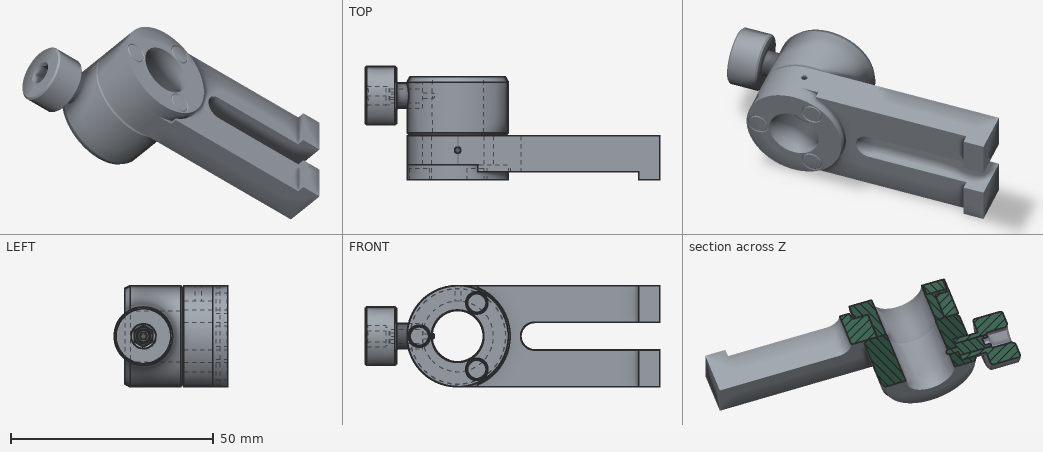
import cadquery as cq
import math


overall_length = 72.9
overall_depth = 28.1
overall_height = 25.0

ring_radius = overall_height / 2
collar_bore_radius = 6.35
flange_bore_radius = 6.5
hub_radius = 8.75

flange_back = 3.7
arm_front = 2.0
arm_back = 10.9
collar_back = 25.5

arm_end = 50.0
arm_step = 5.0
recess_radius = 13.0
foot_length = 5.25
slot_width = 6.8
slot_center = 19.0
index_hole_radius = 0.765
index_hole_center = 7.35

collar_front_land = 0.15
collar_front_chamfer_length = 0.6
collar_front_chamfer_depth = 0.65
collar_back_chamfer_length = 1.4
collar_back_chamfer_depth = 0.7

magnet_radius = 2.515
magnet_depth = 2.9
magnet_chamfer = 0.2
magnet_orbit = 9.5
magnet_angles = [60, 180, 300]

knob_left = arm_end - overall_length
knob_length = 7.8
knob_radius = 7.2
knob_chamfer = 0.45
knob_axis_y = overall_depth - knob_radius
shank_radius = 3.17
shank_fillet = 0.2
shank_end = -8.75
socket_flats = 4.6
socket_depth = 5.1
socket_mouth_radius = 3.05
socket_relief_radius = 2.25
socket_relief_depth = 0.7

plunger_left = knob_left + socket_depth + socket_relief_depth
plunger_radius = 1.75
plunger_chamfer = 0.3
plunger_key_flats = 1.6
plunger_key_depth = 1.45
nose_radius = 0.65
nose_end = -5.75
nose_rounding = 0.5


def y_cylinder(radius, front, back, x=0.0, z=0.0):
    """Cylinder parallel to Y between two y positions."""
    start = cq.Vector(x, front, z)
    return cq.Workplane(cq.Solid.makeCylinder(radius, back - front, start, cq.Vector(0, 1, 0)))


def x_cylinder(radius, left, right):
    """Cylinder on the knob axis between two x positions."""
    start = cq.Vector(left, knob_axis_y, 0)
    return cq.Workplane(cq.Solid.makeCylinder(radius, right - left, start, cq.Vector(1, 0, 0)))


def x_cone(left_radius, right_radius, left, right):
    """Truncated cone on the knob axis between two x positions."""
    start = cq.Vector(left, knob_axis_y, 0)
    cone = cq.Solid.makeCone(left_radius, right_radius, right - left, start, cq.Vector(1, 0, 0))
    return cq.Workplane(cone)


def x_hexagon(flats, left, right, corners_along_z=False):
    """Hexagonal prism on the knob axis with two corners pointing along Y, or along Z."""
    turn = 90 if corners_along_z else 0
    across_corners = flats / math.cos(math.pi / 6)
    return (
        cq.Workplane("YZ", origin=(left, knob_axis_y, 0))
        .transformed(rotate=(0, 0, turn))
        .polygon(6, across_corners)
        .extrude(right - left)
    )


def block(x_range, y_range, height):
    """Box between two x and two y positions, centred on z = 0."""
    length = x_range[1] - x_range[0]
    depth = y_range[1] - y_range[0]
    return cq.Workplane("XY").box(length, depth, height, centered=(False, False, True)).translate(
        (x_range[0], y_range[0], 0)
    )


def magnet_positions():
    """Centres of the magnets as (x, z) pairs."""
    positions = []
    for angle in magnet_angles:
        turn = math.radians(angle)
        positions.append((magnet_orbit * math.cos(turn), magnet_orbit * math.sin(turn)))
    return positions


def make_arm():
    arm = y_cylinder(ring_radius, flange_back, arm_back)
    arm = arm.union(block((0, arm_end), (flange_back, arm_back), overall_height))
    arm = arm.union(block((arm_step, arm_end), (arm_front, arm_back), overall_height))
    arm = arm.union(block((arm_end - foot_length, arm_end), (0, arm_back), overall_height))

    arm = arm.cut(y_cylinder(recess_radius, 0, flange_back))
    arm = arm.cut(y_cylinder(hub_radius, 0, arm_back))

    arm = arm.cut(y_cylinder(slot_width / 2, 0, arm_back, x=slot_center))
    arm = arm.cut(block((slot_center, arm_end), (0, arm_back), slot_width))

    index_hole = cq.Solid.makeCylinder(index_hole_radius, ring_radius, cq.Vector(0, index_hole_center, 0))
    return arm.cut(cq.Workplane(index_hole))


def make_flange():
    flange = y_cylinder(ring_radius, 0, flange_back)
    flange = flange.union(y_cylinder(hub_radius, 0, arm_back))
    flange = flange.cut(y_cylinder(flange_bore_radius, 0, arm_back))

    for x, z in magnet_positions():
        pocket = y_cylinder(magnet_radius, 0, magnet_depth, x, z)
        mouth = cq.Solid.makeCone(
            magnet_radius + magnet_chamfer, magnet_radius, magnet_chamfer,
            cq.Vector(x, 0, z), cq.Vector(0, 1, 0),
        )
        flange = flange.cut(pocket).cut(cq.Workplane(mouth))
    return flange


def make_magnet(x, z):
    magnet = y_cylinder(magnet_radius, 0, magnet_depth, x, z)
    return magnet.faces("<Y").chamfer(magnet_chamfer)


def make_collar():
    front_edge_radius = ring_radius - collar_front_chamfer_depth
    back_edge_radius = ring_radius - collar_back_chamfer_depth
    chamfer_start = arm_back + collar_front_land

    profile = [
        (collar_bore_radius, arm_back),
        (front_edge_radius, arm_back),
        (front_edge_radius, chamfer_start),
        (ring_radius, chamfer_start + collar_front_chamfer_length),
        (ring_radius, collar_back - collar_back_chamfer_length),
        (back_edge_radius, collar_back),
        (collar_bore_radius, collar_back),
    ]
    collar = cq.Workplane("XY").polyline(profile).close().revolve(360, (0, 0), (0, 1))

    collar = collar.cut(x_cylinder(shank_radius, -ring_radius, shank_end))
    return collar.cut(x_cylinder(nose_radius, shank_end, 0))


def make_knob():
    knob_right = knob_left + knob_length
    hexagon_floor = knob_left + socket_depth
    knob = x_cylinder(knob_radius, knob_left, knob_right).faces("<X or >X").chamfer(knob_chamfer)

    knob = knob.union(x_cylinder(shank_radius, knob_right, shank_end))
    root_box = cq.selectors.BoxSelector(
        (knob_right - shank_fillet, knob_axis_y - shank_radius, -shank_radius),
        (knob_right + shank_fillet, knob_axis_y + shank_radius, shank_radius),
    )
    smallest_circle = cq.selectors.RadiusNthSelector(0)
    knob = knob.edges("%CIRCLE").edges(root_box).edges(smallest_circle).fillet(shank_fillet)

    mouth_floor_radius = socket_flats / 2
    mouth_depth = socket_mouth_radius - mouth_floor_radius
    knob = knob.cut(x_hexagon(socket_flats, knob_left, hexagon_floor, corners_along_z=True))
    knob = knob.cut(x_cone(socket_mouth_radius, mouth_floor_radius, knob_left, knob_left + mouth_depth))
    knob = knob.cut(x_cylinder(socket_relief_radius, hexagon_floor, plunger_left))

    return knob.cut(x_cylinder(plunger_radius, plunger_left, shank_end))


def make_plunger():
    plunger = x_cylinder(plunger_radius, plunger_left, shank_end).faces("<X").chamfer(plunger_chamfer)
    nose = x_cylinder(nose_radius, shank_end, nose_end).faces(">X").edges().fillet(nose_rounding)
    key = x_hexagon(plunger_key_flats, plunger_left, plunger_left + plunger_key_depth)
    return plunger.union(nose).cut(key)


arm = make_arm()
flange = make_flange()
magnets = [make_magnet(x, z) for x, z in magnet_positions()]
collar = make_collar()
knob = make_knob()
plunger = make_plunger()

bodies = [arm, flange, *magnets, collar, knob, plunger]
result = cq.Compound.makeCompound([body.solids().val() for body in bodies])